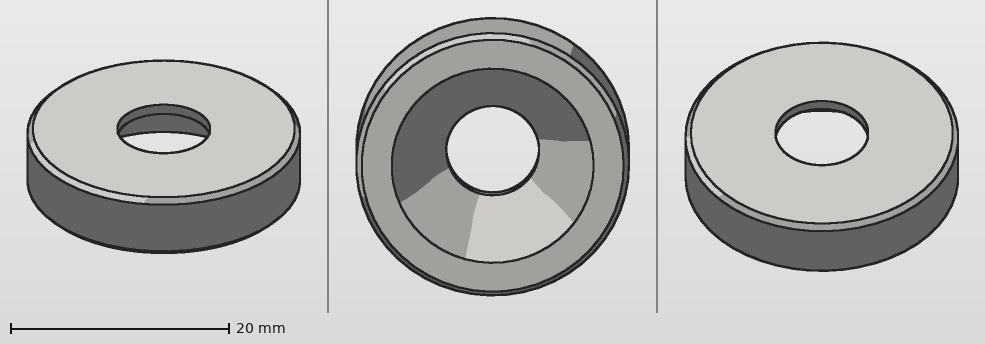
import cadquery as cq

outer_diameter = 25.0
thickness = 6.0
edge_chamfer = 0.5

bore_diameter = 8.5
bore_length = 1.0
seat_diameter = 18.5

outer_radius = outer_diameter / 2
bore_radius = bore_diameter / 2
seat_radius = seat_diameter / 2
seat_depth = thickness - bore_length


def make_washer():
    """Revolve the half section, bottom face at Z = 0, about the Z axis."""
    section = (
        cq.Workplane("XZ")
        .moveTo(seat_radius, 0)
        .lineTo(outer_radius - edge_chamfer, 0)
        .lineTo(outer_radius, edge_chamfer)
        .lineTo(outer_radius, thickness - edge_chamfer)
        .lineTo(outer_radius - edge_chamfer, thickness)
        .lineTo(bore_radius, thickness)
        .lineTo(bore_radius, seat_depth)
        .close()
    )
    return section.revolve(360, (0, 0, 0), (0, 1, 0))


result = make_washer()